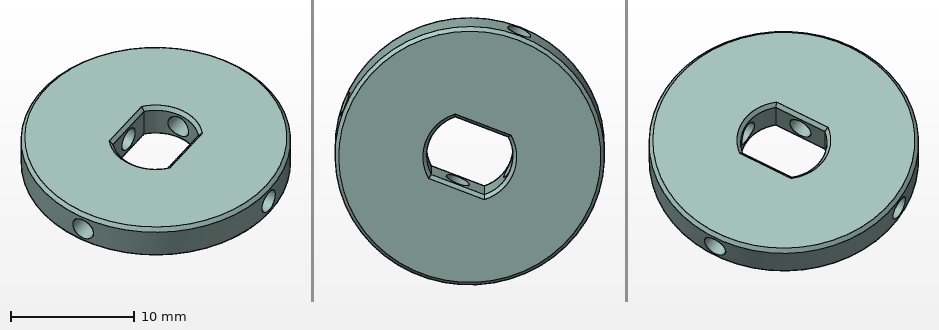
import cadquery as cq

disc_diameter = 21.88
disc_thickness = 3.13
chamfer_size = 0.3

bore_diameter = 7.0
bore_across_flats = 5.25

radial_hole_diameter = 2.0


def make_bore():
    """Double-D cutter through the full thickness."""
    cylinder = cq.Workplane("XY").circle(bore_diameter / 2).extrude(disc_thickness)
    flats = cq.Workplane("XY").rect(bore_across_flats, bore_diameter).extrude(disc_thickness)
    return cylinder.intersect(flats)


def make_disc():
    """Disc with the bore, chamfered around the outside and around the bore."""
    disc = cq.Workplane("XY").circle(disc_diameter / 2).extrude(disc_thickness)
    return disc.cut(make_bore()).faces("<Z or >Z").edges().chamfer(chamfer_size)


def make_radial_hole(plane):
    """Cylinder crossing the whole disc along the normal of the given plane."""
    return (
        cq.Workplane(plane, origin=(0, 0, disc_thickness / 2))
        .circle(radial_hole_diameter / 2)
        .extrude(disc_diameter / 2, both=True)
    )


result = make_disc()
for hole_plane in ("XZ", "YZ"):
    result = result.cut(make_radial_hole(hole_plane))